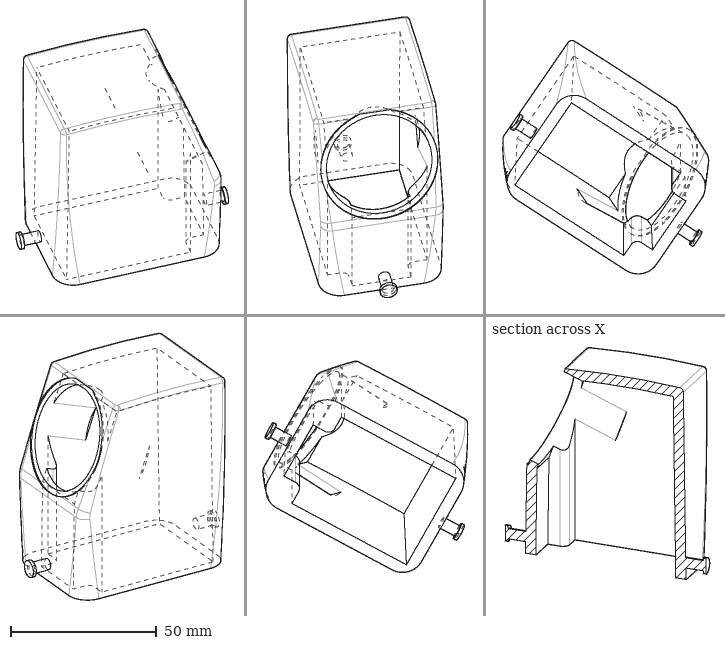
import cadquery as cq
import math

WIDTH = 43.0
BASE_DEPTH = 60.0
HEIGHT = 71.93
WALL_DRAFT = 0.8
SLANT_ANGLE = 20.0
SLANT_TOP_Y = 15.75
SLANT_TOP_Z = 71.0
BEND_RADIUS = 10.0
ROOF_RADIUS = 300.0
ROOF_CROWN_Y = -6.0
ROOF_EDGE_RADIUS = 1.5

CORNER_RADIUS_BOTTOM = 7.5
CORNER_RADIUS_TOP = 1.6
SECTIONS_PER_STRETCH = 5
OVERSHOOT = 2.0

BORE_DIAMETER = 37.0
SEAT_DIAMETER = 41.0
SEAT_DEPTH = 0.5
ENTRY_CENTER_Y = 22.4
BORE_LENGTH = 22.0

WALL = 4.0
BACK_BAY_HALF_WIDTH = 10.35
PILLAR_FRONT_Y = 18.9
PILLAR_EDGE_RADIUS = 2.5

PIN_SPAN = 75.0
PIN_Z = 6.25
PIN_DIAMETER = 4.0
PIN_HEAD_DIAMETER = 6.0
PIN_HEAD_THICKNESS = 1.2

half_width = WIDTH / 2
half_depth = BASE_DEPTH / 2
draft_slope = math.tan(math.radians(WALL_DRAFT))
slant_slope = math.tan(math.radians(SLANT_ANGLE))
bend_sweep = SLANT_ANGLE - WALL_DRAFT
bend_tangent = BEND_RADIUS * math.tan(math.radians(bend_sweep / 2))
roof_center_z = HEIGHT - ROOF_RADIUS


def front_y(z):
    return -half_depth + z * draft_slope


def back_y(z):
    return half_depth - z * draft_slope


def slant_y(z):
    return SLANT_TOP_Y + (SLANT_TOP_Z - z) * slant_slope


bend_z = (slant_y(0) - half_depth) / (slant_slope - draft_slope)
bend_start_z = bend_z - bend_tangent * math.cos(math.radians(WALL_DRAFT))
bend_end_z = bend_z + bend_tangent * math.cos(math.radians(SLANT_ANGLE))
bend_center_y = back_y(bend_start_z) - BEND_RADIUS * math.cos(math.radians(WALL_DRAFT))
bend_center_z = bend_start_z - BEND_RADIUS * math.sin(math.radians(WALL_DRAFT))


def bend_point(tilt):
    """Point on the bend where its outward normal rises by `tilt` degrees."""
    angle = math.radians(tilt)
    return (bend_center_y + BEND_RADIUS * math.cos(angle), bend_center_z + BEND_RADIUS * math.sin(angle))


def side_profile(inset):
    """YZ outline of the hood, moved inward by `inset`, before the bend and roof are shaped."""
    draft_shift = inset / math.cos(math.radians(WALL_DRAFT))
    slant_shift = inset / math.cos(math.radians(SLANT_ANGLE))
    knee_z = bend_z - (slant_shift - draft_shift) / (slant_slope - draft_slope)
    top_z = HEIGHT + OVERSHOOT
    return [
        (front_y(0) + draft_shift, 0),
        (back_y(0) - draft_shift, 0),
        (back_y(knee_z) - draft_shift, knee_z),
        (slant_y(top_z) - slant_shift, top_z),
        (front_y(top_z) + draft_shift, top_z),
    ]


def roofed_prism(inset, half_x):
    """Prism along X with the side outline, capped by the roof cylinder."""
    prism = cq.Workplane("YZ").polyline(side_profile(inset)).close().extrude(half_x, both=True)
    roof = (
        cq.Workplane("YZ")
        .center(ROOF_CROWN_Y, roof_center_z)
        .circle(ROOF_RADIUS - inset)
        .extrude(half_x + OVERSHOOT, both=True)
    )
    return prism.intersect(roof)


def corner_radius(z):
    """Corner radius, falling quadratically with height."""
    remaining = 1 - z / SLANT_TOP_Z
    return CORNER_RADIUS_TOP + (CORNER_RADIUS_BOTTOM - CORNER_RADIUS_TOP) * remaining**2


def corner_section(y, z, facing, tilt):
    """Wire of the material outside the rounded corner, across the edge at (y, z).

    The wall faces +Y or -Y (`facing` is 1 or -1) with its normal raised by `tilt` degrees.
    """
    angle = math.radians(tilt)
    normal = (0, facing * math.cos(angle), math.sin(angle))
    along = (0, normal[2], -normal[1])
    plane = cq.Plane(origin=(half_width, y, z), xDir=normal, normal=along)
    radius = corner_radius(z)
    mid = radius * (1 - math.sqrt(0.5))
    return (
        cq.Workplane(plane)
        .moveTo(0, -radius)
        .threePointArc((-mid, -mid), (-radius, 0))
        .lineTo(-radius, OVERSHOOT)
        .lineTo(OVERSHOOT, OVERSHOOT)
        .lineTo(OVERSHOOT, -radius)
        .close()
        .val()
    )


def fractions():
    return [i / (SECTIONS_PER_STRETCH - 1) for i in range(SECTIONS_PER_STRETCH)]


def straight_cutter(wall_y, start_z, end_z, facing, tilt):
    heights = [start_z + (end_z - start_z) * f for f in fractions()]
    return cq.Solid.makeLoft([corner_section(wall_y(z), z, facing, tilt) for z in heights])


def bend_cutter():
    tilts = [WALL_DRAFT + bend_sweep * f for f in fractions()]
    return cq.Solid.makeLoft([corner_section(*bend_point(t), 1, t) for t in tilts])


def outer_body():
    body = roofed_prism(0, half_width)
    bend_edge = cq.selectors.NearestToPointSelector((0, back_y(bend_z), bend_z))
    body = body.edges(bend_edge).fillet(BEND_RADIUS)
    top_z = HEIGHT + OVERSHOOT
    cutters = [
        straight_cutter(front_y, -OVERSHOOT, top_z, -1, WALL_DRAFT),
        straight_cutter(back_y, -OVERSHOOT, bend_start_z, 1, WALL_DRAFT),
        bend_cutter(),
        straight_cutter(slant_y, bend_end_z, top_z, 1, SLANT_ANGLE),
    ]
    for cutter in cutters:
        body = body.cut(cq.Workplane(cutter))
        body = body.cut(cq.Workplane(cutter.mirror("YZ")))
    return body.faces(">Z").edges().fillet(ROOF_EDGE_RADIUS)


def cavity():
    """Open-bottomed inner space: full width in front, a narrower bay between the pillars."""
    inside = roofed_prism(WALL, half_width - WALL)
    pillar_width = half_width - BACK_BAY_HALF_WIDTH
    for side in (-1, 1):
        pillar = (
            cq.Workplane("XY")
            .center(side * (BACK_BAY_HALF_WIDTH + pillar_width / 2), (PILLAR_FRONT_Y + half_depth) / 2)
            .rect(pillar_width, half_depth - PILLAR_FRONT_Y)
            .extrude(HEIGHT)
            .edges("|Z and <Y")
            .edges("<X" if side > 0 else ">X")
            .fillet(PILLAR_EDGE_RADIUS)
        )
        inside = inside.cut(pillar)
    return inside


def cable_entry():
    """Bore square to the sloping face, with a shallow round seat around it."""
    center_z = SLANT_TOP_Z - (ENTRY_CENTER_Y - SLANT_TOP_Y) / slant_slope
    angle = math.radians(SLANT_ANGLE)
    plane = cq.Plane(
        origin=(0, ENTRY_CENTER_Y, center_z), xDir=(1, 0, 0), normal=(0, math.cos(angle), math.sin(angle))
    )
    seat = cq.Workplane(plane).workplane(offset=-SEAT_DEPTH).circle(SEAT_DIAMETER / 2).extrude(OVERSHOOT)
    bore = cq.Workplane(plane).circle(BORE_DIAMETER / 2).extrude(-BORE_LENGTH)
    return seat.union(bore)


def locking_pin(facing):
    """Headed pin on the front (-1) or back (1) wall, rooted inside the wall."""
    root = half_depth - WALL / 2
    tip = PIN_SPAN / 2
    shank = cq.Solid.makeCylinder(
        PIN_DIAMETER / 2, tip - root, cq.Vector(0, facing * root, PIN_Z), cq.Vector(0, facing, 0)
    )
    head = cq.Solid.makeCylinder(
        PIN_HEAD_DIAMETER / 2,
        PIN_HEAD_THICKNESS,
        cq.Vector(0, facing * (tip - PIN_HEAD_THICKNESS), PIN_Z),
        cq.Vector(0, facing, 0),
    )
    return cq.Workplane(shank).union(cq.Workplane(head))


result = outer_body().cut(cavity()).cut(cable_entry())
for pin_facing in (-1, 1):
    result = result.union(locking_pin(pin_facing))